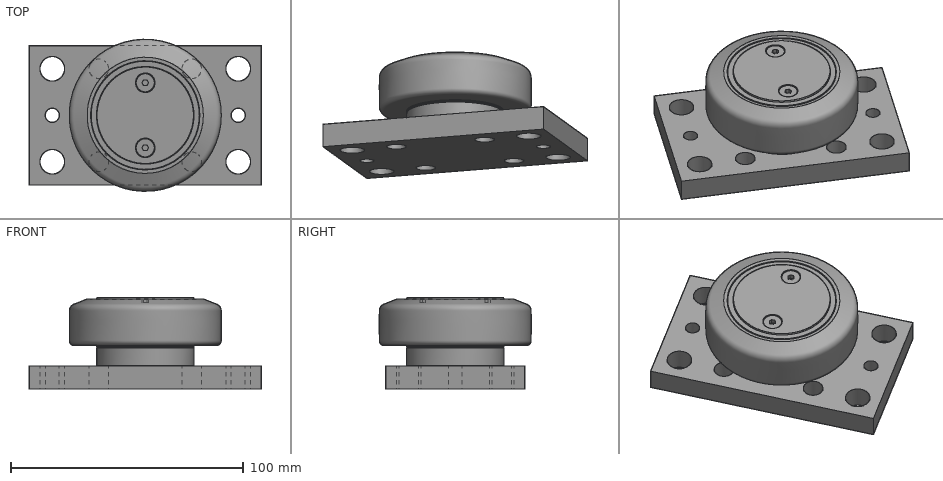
import cadquery as cq
import math

plate_length = 100.0
plate_width = 60.0
plate_thickness = 10.0
corner_hole_diameter = 10.5
corner_hole_spacing = (80.0, 40.0)
side_hole_diameter = 6.0
side_hole_spacing = 80.0
inner_hole_diameter = 8.4
inner_hole_spacing = 40.0

neck_diameter = 42.0
neck_top = 18.0
neck_chamfer = 0.25
relief_diameter = neck_diameter - 2 * neck_chamfer
relief_top = 18.4

roller_diameter = 65.5
roller_bottom = 18.8
roller_top = 38.9
crown_depth = 0.05
shoulder_diameter = 50.0
shoulder_angle = 22.0
upper_fillet = 3.0
lower_fillet = 2.0

groove_outer_diameter = 47.0
groove_inner_diameter = 46.5
groove_depth = 0.3

cap_base_diameter = 42.0
cap_top_diameter = 41.5
cap_top = 39.5

screw_spacing = 28.0
screw_recess_top_diameter = 8.4
screw_recess_bottom_diameter = 7.8
screw_recess_depth = 0.3
hex_across_flats = 2.5
hex_depth = 2.0


def make_plate():
    plate = cq.Workplane("XY").box(
        plate_length, plate_width, plate_thickness, centered=(True, True, False)
    )
    hole_patterns = [
        (corner_hole_diameter, corner_hole_spacing, 2),
        (side_hole_diameter, (side_hole_spacing, 1), 1),
        (inner_hole_diameter, (inner_hole_spacing, inner_hole_spacing), 2),
    ]
    for diameter, (spacing_x, spacing_y), rows in hole_patterns:
        plate = plate.faces(">Z").workplane().rarray(spacing_x, spacing_y, 2, rows).hole(diameter)
    return plate


def cylinder(diameter, bottom, top):
    return cq.Workplane("XY").workplane(offset=bottom).circle(diameter / 2).extrude(top - bottom)


def make_neck():
    neck = cylinder(neck_diameter, plate_thickness, neck_top).edges("%CIRCLE").chamfer(neck_chamfer)
    relief = cylinder(relief_diameter, neck_top, relief_top)
    collar = cylinder(neck_diameter, relief_top, roller_bottom)
    return neck.union(relief).union(collar)


def make_roller():
    """Revolve a slightly crowned rim with a sloping shoulder and rounded edges."""
    rim_radius = roller_diameter / 2 - crown_depth
    shoulder_radius = shoulder_diameter / 2
    slope = math.radians(shoulder_angle)

    corner_height = roller_top - (rim_radius - shoulder_radius) * math.tan(slope)
    turn = math.pi / 2 - slope
    tangent_length = upper_fillet * math.tan(turn / 2)
    rim_top = corner_height - tangent_length
    rim_bottom = roller_bottom + lower_fillet
    slope_end = (
        rim_radius - tangent_length * math.cos(slope),
        corner_height + tangent_length * math.sin(slope),
    )
    fillet_middle = (
        rim_radius - upper_fillet * (1 - math.cos(turn / 2)),
        rim_top + upper_fillet * math.sin(turn / 2),
    )
    lower_middle = (
        rim_radius - lower_fillet * (1 - math.cos(math.pi / 4)),
        rim_bottom - lower_fillet * math.sin(math.pi / 4),
    )
    profile = (
        cq.Workplane("XZ")
        .moveTo(0, roller_bottom)
        .lineTo(rim_radius - lower_fillet, roller_bottom)
        .threePointArc(lower_middle, (rim_radius, rim_bottom))
        .threePointArc((roller_diameter / 2, (rim_bottom + rim_top) / 2), (rim_radius, rim_top))
        .threePointArc(fillet_middle, slope_end)
        .lineTo(shoulder_radius, roller_top)
        .lineTo(0, roller_top)
        .close()
    )
    return profile.revolve(360, (0, 0, 0), (0, 1, 0))


def make_groove():
    outer = cylinder(groove_outer_diameter, roller_top - groove_depth, roller_top)
    inner = cylinder(groove_inner_diameter, roller_top - groove_depth, roller_top)
    return outer.cut(inner)


def make_cap():
    return (
        cq.Workplane("XY")
        .workplane(offset=roller_top)
        .circle(cap_base_diameter / 2)
        .workplane(offset=cap_top - roller_top)
        .circle(cap_top_diameter / 2)
        .loft()
    )


def make_screw_recesses():
    head_height = cap_top - screw_recess_depth
    recess_flare = (screw_recess_top_diameter - screw_recess_bottom_diameter) / 2
    recess_taper = math.degrees(math.atan2(recess_flare, screw_recess_depth))
    hex_across_corners = hex_across_flats / math.cos(math.pi / 6)
    heads = (
        cq.Workplane("XY")
        .workplane(offset=head_height)
        .rarray(1, screw_spacing, 1, 2)
        .circle(screw_recess_bottom_diameter / 2)
        .extrude(screw_recess_depth, taper=-recess_taper)
    )
    sockets = (
        cq.Workplane("XY")
        .workplane(offset=head_height - hex_depth)
        .rarray(1, screw_spacing, 1, 2)
        .polygon(6, hex_across_corners)
        .extrude(hex_depth)
    )
    return heads.union(sockets)


result = (
    make_plate()
    .union(make_neck())
    .union(make_roller())
    .cut(make_groove())
    .union(make_cap())
    .cut(make_screw_recesses())
)